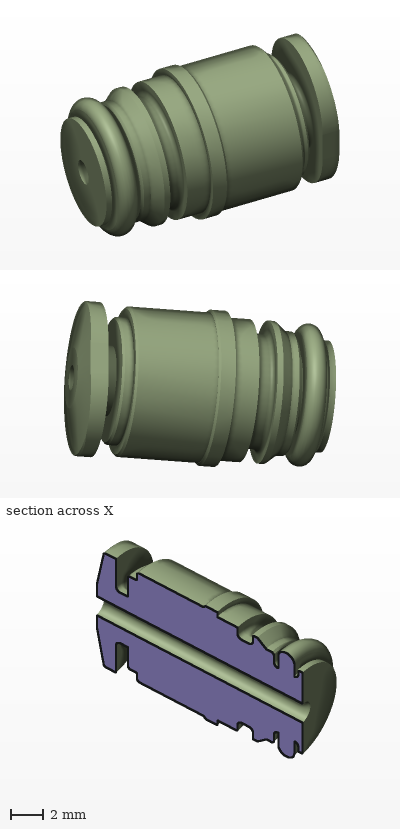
import cadquery as cq

length = 16.1
bore_diameter = 1.6
groove_fillet = 0.3
edge_chamfer = 0.15

end_flange_diameter = 7.0
seal_groove_diameter = 5.6
land_diameter = 7.8
skirt_diameter = 8.94
clip_groove_diameter = 7.2
collar_diameter = 9.75
body_diameter = 9.4
rear_ring_diameter = 8.0
neck_diameter = 4.4

end_flange_top = 0.39
seal_bottom = 0.66
seal_top = 1.95
land_bottom = 2.25
land_top = 2.85
cone_top = 3.55
clip_groove_bottom = 3.93
clip_groove_top = 5.09
collar_bottom = 6.67
collar_top = 7.75
body_top = 12.98
rear_ring_top = 13.68
head_bottom = 14.57

seal_diameter = skirt_diameter
seal_face_diameter = 7.8

head_width = 7.8
head_height = 9.8
crown_flat_diameter = 3.8
crown_edge_radius = 4.8
crown_drop = 0.53
rim_drop = 0.66


def cylinder(diameter, bottom, top):
    """Disc about the Y axis between two Y positions."""
    return cq.Workplane("XZ", origin=(0, bottom, 0)).circle(diameter / 2).extrude(bottom - top)


def flared_groove(diameter, bottom, top, flare_bottom=True):
    """Groove core flaring with a fillet into the wall above and, optionally, the wall below."""
    core_radius = diameter / 2
    arc_inset = groove_fillet * (1 - 0.5 ** 0.5)
    lower_radius = core_radius + (groove_fillet if flare_bottom else 0)
    profile = cq.Workplane("XY").moveTo(0, bottom).lineTo(lower_radius, bottom)
    if flare_bottom:
        profile = profile.threePointArc(
            (core_radius + arc_inset, bottom + arc_inset),
            (core_radius, bottom + groove_fillet),
        )
    profile = profile.lineTo(core_radius, top - groove_fillet).threePointArc(
        (core_radius + arc_inset, top - arc_inset),
        (core_radius + groove_fillet, top),
    )
    return profile.lineTo(0, top).close().revolve(360, (0, 0, 0), (0, 1, 0))


def seal_ring():
    """Seal with flat end faces and a rounded outer surface, seated on the groove floor."""
    face_radius = seal_face_diameter / 2
    return (
        cq.Workplane("XY")
        .moveTo(0, seal_bottom)
        .lineTo(face_radius, seal_bottom)
        .threePointArc((seal_diameter / 2, (seal_bottom + seal_top) / 2), (face_radius, seal_top))
        .lineTo(0, seal_top)
        .close()
        .revolve(360, (0, 0, 0), (0, 1, 0))
    )


def conical_land():
    """Land with a chamfered front edge, widening through a cone to the skirt diameter."""
    land_radius = land_diameter / 2
    skirt_radius = skirt_diameter / 2
    outline = [
        (0, land_bottom),
        (land_radius - edge_chamfer, land_bottom),
        (land_radius, land_bottom + edge_chamfer),
        (land_radius, land_top),
        (skirt_radius, cone_top),
        (skirt_radius, clip_groove_bottom),
        (0, clip_groove_bottom),
    ]
    return cq.Workplane("XY").polyline(outline).close().revolve(360, (0, 0, 0), (0, 1, 0))


def button_head():
    """Stadium plate trimmed by a revolved crown with a bevelled rim."""
    plate = (
        cq.Workplane("XZ", origin=(0, head_bottom, 0))
        .slot2D(head_height, head_width, 90)
        .extrude(head_bottom - length)
    )
    crown_outline = [
        (0, head_bottom),
        (head_height / 2, head_bottom),
        (head_height / 2, length - rim_drop),
        (crown_edge_radius, length - crown_drop),
        (crown_flat_diameter / 2, length),
        (0, length),
    ]
    crown = cq.Workplane("XY").polyline(crown_outline).close().revolve(360, (0, 0, 0), (0, 1, 0))
    return plate.intersect(crown)


end_flange = cylinder(end_flange_diameter, 0, end_flange_top)
seal_groove = flared_groove(seal_groove_diameter, end_flange_top, land_bottom)

clip_groove = flared_groove(clip_groove_diameter, clip_groove_bottom, clip_groove_top)
skirt = cylinder(skirt_diameter, clip_groove_top, collar_bottom)
collar = cylinder(collar_diameter, collar_bottom, collar_top).faces(">Y").chamfer(edge_chamfer)
body = cylinder(body_diameter, collar_top, body_top).faces(">Y").chamfer(edge_chamfer)

rear_ring = cylinder(rear_ring_diameter, body_top, rear_ring_top).faces(">Y").chamfer(edge_chamfer)
neck = flared_groove(neck_diameter, rear_ring_top, head_bottom, flare_bottom=False)

result = end_flange
for section in (
    seal_groove, seal_ring(), conical_land(), clip_groove, skirt,
    collar, body, rear_ring, neck, button_head(),
):
    result = result.union(section)

result = result.cut(cylinder(bore_diameter, 0, length))